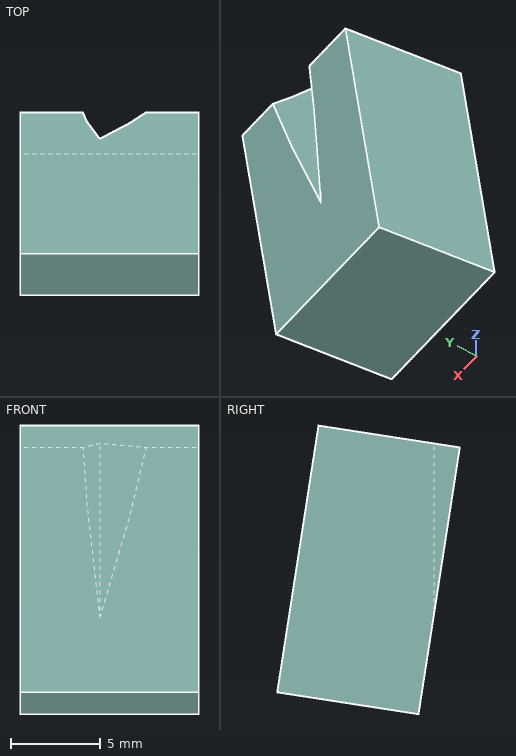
import cadquery as cq
import math

width = 10.0
outer_y = 10.22
outer_z = 16.15
tilt_angle = 8.8

tilt_cos = math.cos(math.radians(tilt_angle))
tilt_sin = math.sin(math.radians(tilt_angle))
tilt_scale = tilt_cos**2 - tilt_sin**2
depth = (outer_y * tilt_cos - outer_z * tilt_sin) / tilt_scale
height = (outer_z * tilt_cos - outer_y * tilt_sin) / tilt_scale

notch_depth = 1.47
notch_bottom_x = -0.55
notch_left_x = -1.49
notch_right_x = 2.03
left_bend_x = -1.28
left_bend_depth = 0.48
right_bend_x = 1.08
right_bend_depth = 0.61

back_y = outer_y / 2


def make_block():
    """Plain block leaning toward +Y about the X axis."""
    upright = cq.Workplane("XY").box(width, depth, height)
    return upright.rotate((0, 0, 0), (1, 0, 0), -tilt_angle)


def make_notch():
    """Vertical prism; it runs out through the sloping back face above the bottom."""
    return (
        cq.Workplane("XY")
        .workplane(offset=-outer_z / 2)
        .moveTo(notch_left_x, back_y)
        .lineTo(left_bend_x, back_y - left_bend_depth)
        .lineTo(notch_bottom_x, back_y - notch_depth)
        .lineTo(right_bend_x, back_y - right_bend_depth)
        .lineTo(notch_right_x, back_y)
        .close()
        .extrude(outer_z)
    )


result = make_block().cut(make_notch())